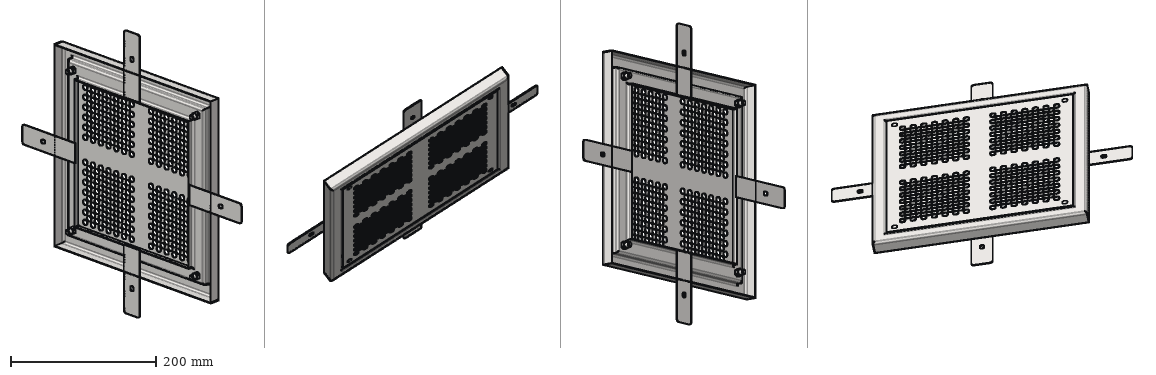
import cadquery as cq
import math


sheet = 1.3
inner_bend = 2.5
outer_bend = inner_bend + sheet
frame_width = 300.5
frame_depth = 18.5
floor_y = frame_depth - sheet
ridge_width = 262.5
shelf_y = 6.0
flange_y = -1.5
opening_width = 217.0
flange_width = opening_width + 2 * sheet
hollow_width = ridge_width - 2 * sheet
shelf_back_y = shelf_y + sheet

hole_diameter = 8.0
hole_spacing = 10.5
hole_step = hole_spacing / math.sqrt(2)
holes_start = 18.5
hole_rows = 13

strap_span = 420.0
strap_width = 30.0
strap_thickness = 1.5
strap_corner = 4.0
strap_length = (strap_span - opening_width) / 2
slot_width = 6.0
slot_length = 7.5
slot_from_end = 40.0

stud_offset = 119.0
stud_tip_y = -6.7
stud_diameter = 7.5
stud_tip_diameter = 5.0
collar_diameter = 11.5
collar_height = 5.0


def square_block(width, y_start, y_end):
    """Square block centred on the Y axis, from y_start to y_end."""
    return cq.Workplane("XY").box(width, y_end - y_start, width).translate((0, (y_start + y_end) / 2, 0))


def square_edges(body, width, y):
    """Edges of the body that form a centred square of the given width at height y."""
    tolerance = 0.05

    def on_square(edge):
        middle = edge.Center()
        from_axis = max(abs(middle.x), abs(middle.z))
        return abs(from_axis - width / 2) < tolerance and abs(middle.y - y) < tolerance

    return body.edges().filter(on_square)


def make_frame():
    frame = (
        square_block(frame_width, 0, frame_depth)
        .cut(square_block(frame_width - 2 * sheet, 0, floor_y))
        .union(square_block(ridge_width, shelf_y, frame_depth))
        .union(square_block(flange_width, flange_y, frame_depth))
        .cut(square_block(hollow_width, shelf_back_y, frame_depth))
        .cut(square_block(opening_width, flange_y, frame_depth))
    )
    bends = [
        (frame_width, frame_depth, outer_bend),
        (frame_width - 2 * sheet, floor_y, inner_bend),
        (ridge_width, floor_y, inner_bend),
        (hollow_width, frame_depth, outer_bend),
        (ridge_width, shelf_y, outer_bend),
        (hollow_width, shelf_back_y, inner_bend),
        (flange_width, shelf_y, inner_bend),
        (opening_width, shelf_back_y, outer_bend),
    ]
    for width, y, radius in bends:
        frame = square_edges(frame, width, y).fillet(radius)
    for angle in (0, 90):
        notch = cq.Workplane("XY").box(flange_width, -flange_y, strap_width).translate((0, flange_y / 2, 0))
        frame = frame.cut(notch.rotate((0, 0, 0), (0, 1, 0), angle))
    return frame.cut(stud_shanks())


def hole_centres():
    """Staggered hole centres, mirrored into all four quadrants."""
    centres = []
    for column in range(hole_rows):
        for row in range(hole_rows):
            if (column + row) % 2 == 0:
                x = holes_start + column * hole_step
                z = holes_start + row * hole_step
                centres += [(x, z), (-x, z), (x, -z), (-x, -z)]
    return centres


def make_panel():
    holes = (
        cq.Workplane("XZ", origin=(0, frame_depth, 0))
        .pushPoints(hole_centres())
        .circle(hole_diameter / 2)
        .extrude(sheet)
    )
    return square_block(hollow_width, floor_y, frame_depth).cut(holes)


def make_strap(angle):
    """Strap along +X, turned about the Y axis by the angle."""
    strap = (
        cq.Workplane("XY")
        .box(strap_length, strap_thickness, strap_width)
        .translate((strap_span / 2 - strap_length / 2, -strap_thickness / 2, 0))
        .faces(">X").edges("|Y").fillet(strap_corner)
    )
    slot = (
        cq.Workplane("XZ", origin=(strap_span / 2 - slot_from_end, 0, 0))
        .slot2D(slot_length, slot_width)
        .extrude(strap_thickness)
    )
    return strap.cut(slot).rotate((0, 0, 0), (0, 1, 0), angle)


def stud_shanks():
    """The four stud shanks, from the panel to the tips."""
    return (
        cq.Workplane("XZ", origin=(0, floor_y, 0))
        .rect(2 * stud_offset, 2 * stud_offset, forConstruction=True)
        .vertices()
        .circle(stud_diameter / 2)
        .extrude(floor_y - stud_tip_y)
    )


def make_stud(x, z):
    shank = (
        cq.Workplane("XZ", origin=(x, floor_y, z))
        .circle(stud_diameter / 2)
        .extrude(floor_y - stud_tip_y)
        .faces("<Y").chamfer((stud_diameter - stud_tip_diameter) / 2)
    )
    collar = (
        cq.Workplane("XZ", origin=(x, shelf_y, z))
        .transformed(rotate=(0, 0, 90))
        .polygon(6, collar_diameter)
        .extrude(collar_height)
    )
    return shank.union(collar)


frame = make_frame()
panel = make_panel()
straps = [make_strap(angle) for angle in (0, 90, 180, 270)]
studs = [make_stud(x, z) for x in (-stud_offset, stud_offset) for z in (-stud_offset, stud_offset)]

result = cq.Compound.makeCompound([
    frame.val(),
    panel.val(),
    *[strap.val() for strap in straps],
    *[stud.val() for stud in studs],
])